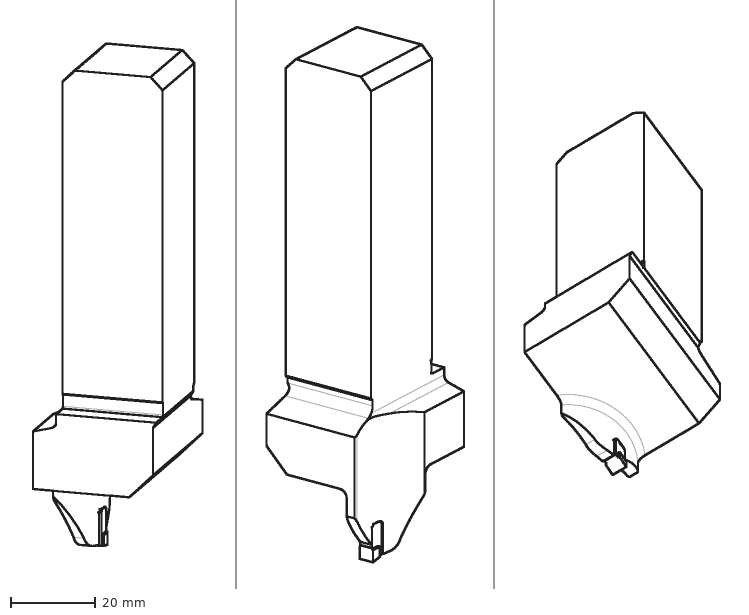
import cadquery as cq
import math

shank_width = 25.0
total_height = 124.0
shank_end_chamfer = 3.0

head_left = -5.81
head_front = -5.0
head_back = 33.9
head_bottom = 21.05
head_right = 24.25
head_step_top = 40.1
head_right_slope_height = 1.3
head_corner_chamfer = 6.0
shoulder_edge_height = 35.3
shoulder_angle = 15.0
left_shoulder_radius = 1.7
back_shoulder_radius = 2.6

front_relief_depth = 0.3
front_relief_top = 43.8
front_relief_radius = 0.5
back_relief_depth = 0.7
back_relief_top = 42.0

arc_centre_y = 25.6
inner_radius = 21.5
inner_arc_x = -0.3
inner_flat_x = -1.6
outer_radius = 16.8
outer_arc_x = 3.0
blade_root_fillet = 1.8
blade_front_slope_top = 14.95
blade_front_foot = (16.3, 3.7)
blade_toe_bulge = (17.2, 2.1)
blade_toe = (19.2, 1.1)
blade_tip_height = 0.5
blade_back_slope_top = 14.5
blade_back_slope_end = 4.6
blade_jaw_end = 3.7
blade_jaw_overhang = 0.3

insert_front = 21.1
insert_back = shank_width
insert_top = 9.6
insert_corner_chamfer = 0.7
insert_clearance_angle = 10.0
insert_body_left = -0.3
insert_body_right = 3.0
insert_head_left = -0.56
insert_head_right = 3.36
insert_head_top = 3.4
insert_head_front = 22.0
insert_head_chamfer = 0.5
insert_head_bevel = 0.25

margin = 5.0


def yz_prism(outline, x_start, x_end):
    """Extrude an outline drawn on a YZ plane from x_start to x_end."""
    return outline.extrude(x_end - x_start).translate((x_start, 0, 0))


def shoulder_points(radius, run):
    """Concave fillet under a vertical wall, then a slope going outward.

    Returns (distance from wall, height) of the fillet start, middle and end."""
    turn = math.radians(90 - shoulder_angle)
    end_out = radius * (1 - math.cos(turn))
    end_height = shoulder_edge_height + (run - end_out) * math.tan(math.radians(shoulder_angle))
    start_height = end_height + radius * math.sin(turn)
    middle_out = radius * (1 - math.cos(turn / 2))
    middle_height = start_height - radius * math.sin(turn / 2)
    return (0, start_height), (middle_out, middle_height), (end_out, end_height)


def make_shank():
    height = total_height - head_step_top
    bar = cq.Workplane("XY").box(shank_width, shank_width, height, centered=False)
    bar = bar.faces(">Z").edges("|Y").chamfer(shank_end_chamfer)
    return bar.translate((0, 0, head_step_top))


def make_head():
    start, middle, end = shoulder_points(left_shoulder_radius, -head_left)
    outline = (
        cq.Workplane("XZ")
        .moveTo(head_left, head_bottom)
        .lineTo(head_right - head_corner_chamfer, head_bottom)
        .lineTo(head_right, head_bottom + head_corner_chamfer)
        .lineTo(head_right, head_step_top - head_right_slope_height)
        .lineTo(shank_width, head_step_top)
        .lineTo(0, head_step_top)
        .lineTo(-start[0], start[1])
        .threePointArc((-middle[0], middle[1]), (-end[0], end[1]))
        .lineTo(head_left, shoulder_edge_height)
        .close()
    )
    return outline.extrude(head_front - head_back).translate((0, head_front, 0))


def back_shoulder_cutter():
    """Removes the metal above the rear shoulder and the rear relief."""
    wall = shank_width - back_relief_depth
    start, middle, end = shoulder_points(back_shoulder_radius, head_back - wall)
    outline = (
        cq.Workplane("YZ")
        .moveTo(shank_width, back_relief_top)
        .lineTo(wall, back_relief_top - back_relief_depth)
        .lineTo(wall + start[0], start[1])
        .threePointArc((wall + middle[0], middle[1]), (wall + end[0], end[1]))
        .lineTo(head_back, shoulder_edge_height)
        .lineTo(head_back, back_relief_top)
        .close()
    )
    return yz_prism(outline, head_left - margin, shank_width + margin)


def front_relief_cutter():
    """Shallow groove in the front of the shank, rounded into the head's step."""
    radius = front_relief_radius
    sag = radius * (1 - math.sqrt(0.5))
    wall = front_relief_depth
    outline = (
        cq.Workplane("YZ")
        .moveTo(0, front_relief_top)
        .lineTo(wall, front_relief_top - front_relief_depth)
        .lineTo(wall, head_step_top + radius)
        .threePointArc((wall - sag, head_step_top + sag), (wall - radius, head_step_top))
        .lineTo(wall - radius, front_relief_top)
        .close()
    )
    return yz_prism(outline, -margin, shank_width + margin)


def hollow_cutter():
    """Clears the concave left side of the head and blade, full height."""
    cylinder = (
        cq.Workplane("XY")
        .center(inner_arc_x - inner_radius, arc_centre_y)
        .circle(inner_radius)
        .extrude(head_step_top)
    )
    flat = (
        cq.Workplane("XY")
        .box(margin - head_left, head_back - arc_centre_y, head_step_top, centered=False)
        .translate((inner_flat_x - margin + head_left, arc_centre_y, 0))
    )
    return cylinder.union(flat)


def outer_arc_front_y():
    """Y where the bulging side of the blade meets the head's left side."""
    reach = head_left - (outer_arc_x - outer_radius)
    return arc_centre_y - math.sqrt(outer_radius**2 - reach**2)


def make_blade():
    jaw_back = insert_back + blade_jaw_overhang
    back_reach = head_back - arc_centre_y
    back_x = outer_arc_x - outer_radius + math.sqrt(outer_radius**2 - back_reach**2)
    side = (
        cq.Workplane("YZ")
        .moveTo(0, head_bottom)
        .lineTo(0, blade_front_slope_top)
        .lineTo(outer_arc_front_y(), blade_front_slope_top)
        .lineTo(*blade_front_foot)
        .threePointArc(blade_toe_bulge, blade_toe)
        .lineTo(insert_back, blade_tip_height)
        .lineTo(insert_back, blade_jaw_end)
        .lineTo(jaw_back, blade_jaw_end)
        .lineTo(jaw_back, blade_back_slope_end)
        .lineTo(head_back, blade_back_slope_top)
        .lineTo(head_back, head_bottom)
        .close()
    )
    blade = (
        cq.Workplane("XY")
        .moveTo(head_left, outer_arc_front_y())
        .threePointArc((outer_arc_x, arc_centre_y), (back_x, head_back))
        .lineTo(head_left, head_back)
        .close()
        .extrude(head_bottom)
    )
    return blade.intersect(yz_prism(side, head_left, outer_arc_x + margin))


def clearance_height(y):
    """Height of the insert's relieved end face at a given Y."""
    return (insert_back - y) * math.tan(math.radians(insert_clearance_angle))


def insert_outline():
    return (
        cq.Workplane("YZ")
        .moveTo(insert_back, 0)
        .lineTo(insert_back, insert_top - insert_corner_chamfer)
        .lineTo(insert_back - insert_corner_chamfer, insert_top)
        .lineTo(insert_front + insert_corner_chamfer, insert_top)
        .lineTo(insert_front, insert_top - insert_corner_chamfer)
        .lineTo(insert_front, clearance_height(insert_front))
        .close()
    )


def make_holder():
    holder = make_head().union(make_blade())
    bulge_root = cq.selectors.NearestToPointSelector((outer_arc_x, arc_centre_y, head_bottom))
    holder = holder.edges("%CIRCLE").edges(bulge_root).fillet(blade_root_fillet)
    holder = holder.union(make_shank())
    for cutter in (back_shoulder_cutter(), front_relief_cutter(), hollow_cutter()):
        holder = holder.cut(cutter)
    seat = yz_prism(insert_outline(), head_left, outer_arc_x + margin)
    return holder.cut(seat)


def make_insert():
    body = yz_prism(insert_outline(), insert_body_left, insert_body_right)
    cutting_head = (
        cq.Workplane("YZ")
        .moveTo(insert_back, 0)
        .lineTo(insert_back, insert_head_top)
        .lineTo(insert_head_front + insert_head_chamfer, insert_head_top)
        .lineTo(insert_head_front, insert_head_top - insert_head_chamfer)
        .lineTo(insert_head_front, clearance_height(insert_head_front))
        .close()
    )
    head = yz_prism(cutting_head, insert_head_left, insert_head_right)
    head = head.faces(">Z").edges("|Y").chamfer(insert_head_bevel)
    return body.union(head)


holder = make_holder()
insert = make_insert()
result = cq.Compound.makeCompound([holder.val(), insert.val()])